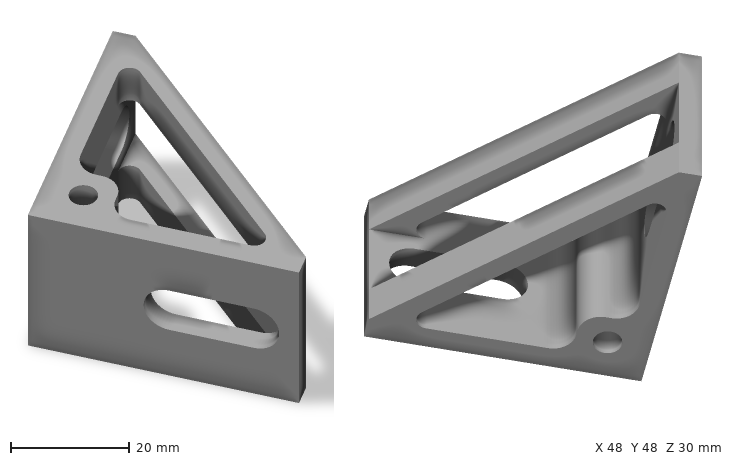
import cadquery as cq
import math

leg_length = 48.0
height = 30.0
wall = 4.05
brace_thickness = 3.5

boss_side = 13.0
boss_radius = 4.0
root_radius = 4.0
tip_radius = 2.0
hole_diameter = 5.0
hole_offset = 7.5

slot_length = 24.0
slot_width = 9.0
slot_center = 32.5
brace_height = 7.5

outer_sum = leg_length + wall
inner_sum = outer_sum - brace_thickness * math.sqrt(2)
inner_tip = inner_sum - wall


def make_body():
    """Right-angled prism with both sharp tips cut square."""
    outline = [
        (0, 0),
        (leg_length, 0),
        (leg_length, wall),
        (wall, leg_length),
        (0, leg_length),
    ]
    return cq.Workplane("XY").polyline(outline).close().extrude(height)


def round_edges(solid, points, radius):
    """Round the vertical edges standing at the given points."""
    for x, y in points:
        nearest = cq.selectors.NearestToPointSelector((x, y, height / 2))
        solid = solid.edges("|Z").edges(nearest).fillet(radius)
    return solid


def make_opening():
    """Rounded triangular opening that steps around the corner boss."""
    outline = [
        (boss_side, wall),
        (inner_tip, wall),
        (wall, inner_tip),
        (wall, boss_side),
        (boss_side, boss_side),
    ]
    opening = cq.Workplane("XY").polyline(outline).close().extrude(height)
    opening = round_edges(opening, [(inner_tip, wall), (wall, inner_tip)], tip_radius)
    opening = round_edges(opening, [(boss_side, wall), (wall, boss_side)], root_radius)
    return round_edges(opening, [(boss_side, boss_side)], boss_radius)


def make_window():
    """Gap between upper and lower braces, open to the inner leg faces and clear of the boss."""
    inner_end = inner_tip - boss_side
    outline = [
        (inner_end, wall),
        (leg_length, wall),
        (leg_length, leg_length),
        (wall, leg_length),
        (wall, inner_end),
    ]
    window = cq.Workplane("XY", origin=(0, 0, brace_height)).polyline(outline).close()
    return window.extrude(height - 2 * brace_height)


def make_slot(plane, center, depth):
    """Horizontal rounded slot through one leg."""
    return cq.Workplane(plane).center(center, height / 2).slot2D(slot_length, slot_width).extrude(depth)


hole = cq.Workplane("XY").center(hole_offset, hole_offset).circle(hole_diameter / 2).extrude(height)
front_slot = make_slot("XZ", slot_center, -wall)
side_slot = make_slot("YZ", slot_center, wall)

result = make_body()
for cutter in (make_opening(), make_window(), hole, front_slot, side_slot):
    result = result.cut(cutter)